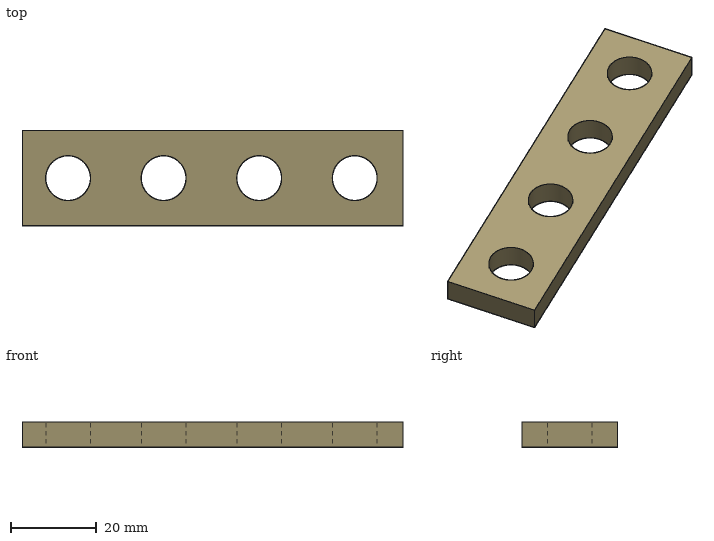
import cadquery as cq

length = 88.9
width = 22.3
thickness = 6.0

hole_diameter = 10.4
hole_count = 4
hole_pitch = 22.3
first_hole_from_end = 10.7

first_hole_x = -length / 2 + first_hole_from_end
hole_centers = [(first_hole_x + i * hole_pitch, 0) for i in range(hole_count)]

bar = cq.Workplane("XY").box(length, width, thickness)

result = (
    bar.faces(">Z")
    .workplane(centerOption="CenterOfBoundBox")
    .pushPoints(hole_centers)
    .hole(hole_diameter)
)